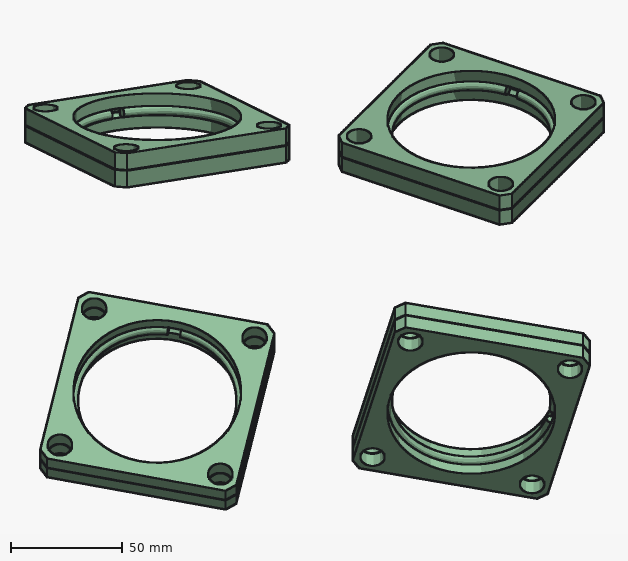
import cadquery as cq

side = 90.0
height = 16.0
plate_gap = 0.4
corner_chamfer = 4.05
bore_diameter = 75.3
hole_diameter = 11.0
hole_spacing = 73.6
ring_section_radius = 2.2
ring_split = 5.9

plate_thickness = (height - plate_gap) / 2
bore_radius = bore_diameter / 2


def make_plate(bottom):
    """Chamfered square plate with a central bore and four corner holes."""
    return (
        cq.Workplane("XY")
        .workplane(offset=bottom)
        .rect(side, side)
        .extrude(plate_thickness)
        .edges("|Z")
        .chamfer(corner_chamfer)
        .faces(">Z")
        .workplane()
        .hole(bore_diameter)
        .faces(">Z")
        .workplane()
        .rect(hole_spacing, hole_spacing, forConstruction=True)
        .vertices()
        .hole(hole_diameter)
    )


def make_round_ring():
    """Full ring of round section, centred on the bore wall at mid height."""
    return cq.Workplane("XY").add(cq.Solid.makeTorus(bore_radius, ring_section_radius))


def make_split_ring():
    """Ring divided into two halves by a straight cut along X."""
    split = cq.Workplane("XY").box(side, ring_split, height)
    return make_round_ring().cut(split)


lower_plate = make_plate(-height / 2)
upper_plate = make_plate(plate_gap / 2)
plates = lower_plate.union(upper_plate)

result = plates.cut(make_round_ring()).union(make_split_ring())